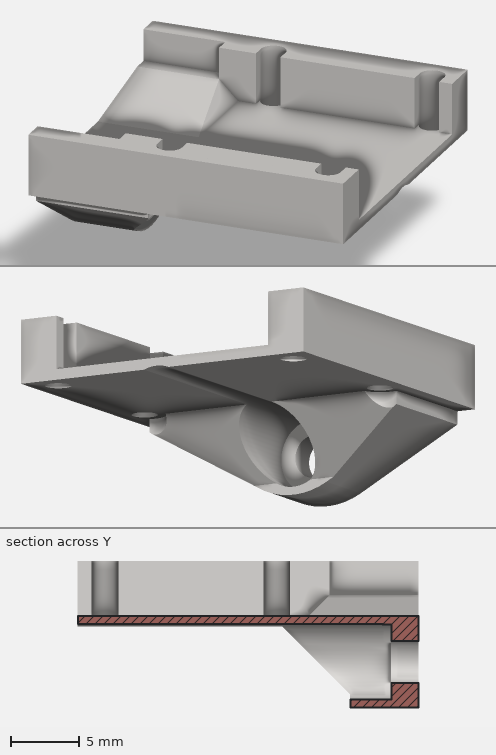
import cadquery as cq
import math

length = 25.0
width = 24.0
height = 10.8
rail_height = 4.8
tray_bottom = height - rail_height
floor_top = height - 4.0
inner_half_width = 9.0

screw_diameter = 1.95
screw_y = 10.0
screw_xs = (10.4, 23.0)
screw_head_diameter = 3.2

axis_y = -0.5
pivot_z = 3.4
pivot_diameter = 3.2
pivot_recess_diameter = 5.6
pivot_wall = 2.0
lug_half_width = 10.5
lug_side_bottom = tray_bottom - 1.0
lug_tip_length = 5.0
lug_tip_top = 1.0
lug_tip_radius = 6.0

ramp_flat_half_width = 1.9
ramp_top = height - 2.5
ramp_top_length = 6.5
ramp_bottom_length = ramp_top_length + ramp_top - floor_top
rail_notch_half_width = 10.2


def box(x0, x1, y0, y1, z0, z1):
    """Box between the given limits."""
    return cq.Workplane("XY").box(x1 - x0, y1 - y0, z1 - z0, centered=False).translate((x0, y0, z0))


def tangent_point(side):
    """Point where the lug's sloping underside meets its rounded tip, on the given side."""
    run = lug_half_width - side * axis_y
    rise = lug_tip_radius - lug_side_bottom
    reach = math.hypot(run, rise)
    angle = math.atan2(-rise, run) - math.acos(lug_tip_radius / reach)
    return (
        axis_y + side * lug_tip_radius * math.cos(angle),
        lug_tip_radius + lug_tip_radius * math.sin(angle),
    )


def make_tray():
    tray = box(0, length, -width / 2, width / 2, tray_bottom, height)
    return tray.cut(box(0, length, -inner_half_width, inner_half_width, floor_top, height))


def make_lug():
    """Rounded V section along X, with its far end sloped at 45 degrees."""
    section = (
        cq.Workplane("YZ")
        .moveTo(-lug_half_width, tray_bottom)
        .lineTo(-lug_half_width, lug_side_bottom)
        .lineTo(*tangent_point(-1))
        .threePointArc((axis_y, 0), tangent_point(1))
        .lineTo(lug_half_width, lug_side_bottom)
        .lineTo(lug_half_width, tray_bottom)
        .close()
        .extrude(length)
    )
    lug_top_length = lug_tip_length + tray_bottom - lug_tip_top
    side_profile = (
        cq.Workplane("XZ")
        .polyline([
            (0, 0),
            (lug_tip_length, 0),
            (lug_tip_length, lug_tip_top),
            (lug_top_length, tray_bottom),
            (0, tray_bottom),
        ])
        .close()
        .extrude(width / 2, both=True)
    )
    return section.intersect(side_profile)


def make_ramp(side):
    """Wedge rising from the tray floor to a rail, with a 45 degree end face."""
    wedge = (
        cq.Workplane("YZ")
        .polyline([
            (axis_y + side * ramp_flat_half_width, floor_top),
            (side * inner_half_width, floor_top),
            (side * inner_half_width, ramp_top),
        ])
        .close()
        .extrude(ramp_bottom_length)
    )
    end_limit = (
        cq.Workplane("XZ")
        .polyline([
            (0, floor_top),
            (ramp_bottom_length, floor_top),
            (ramp_top_length, ramp_top),
            (0, ramp_top),
        ])
        .close()
        .extrude(width / 2, both=True)
    )
    return wedge.intersect(end_limit)


def mirrored_box(x0, x1, y0, y1, z0, z1):
    """Box and its mirror image across the XZ plane."""
    return box(x0, x1, y0, y1, z0, z1).union(box(x0, x1, -y1, -y0, z0, z1))


def make_rail_notches():
    return mirrored_box(0, ramp_top_length, inner_half_width, rail_notch_half_width, ramp_top, height)


def make_screw_cuts():
    """Through holes, slots open to the tray, and head clearance under the rails."""
    points = [(x, side * screw_y) for x in screw_xs for side in (-1, 1)]
    cuts = cq.Workplane("XY").pushPoints(points).circle(screw_diameter / 2).extrude(height)
    heads = cq.Workplane("XY").pushPoints(points).circle(screw_head_diameter / 2).extrude(tray_bottom)
    cuts = cuts.union(heads)
    radius = screw_diameter / 2
    for x in screw_xs:
        slots = mirrored_box(x - radius, x + radius, inner_half_width, screw_y, floor_top, height)
        cuts = cuts.union(slots)
    return cuts


def make_pivot_cut():
    """Pivot hole along X, widened to a recess behind the lug's end wall."""
    hole = cq.Workplane("YZ").center(axis_y, pivot_z).circle(pivot_diameter / 2).extrude(length)
    recess = (
        cq.Workplane("YZ", origin=(pivot_wall, 0, 0))
        .center(axis_y, pivot_z)
        .circle(pivot_recess_diameter / 2)
        .extrude(length)
    )
    return hole.union(recess)


result = make_tray().union(make_lug())
for ramp_side in (-1, 1):
    result = result.union(make_ramp(ramp_side))
result = result.cut(make_rail_notches()).cut(make_screw_cuts()).cut(make_pivot_cut())